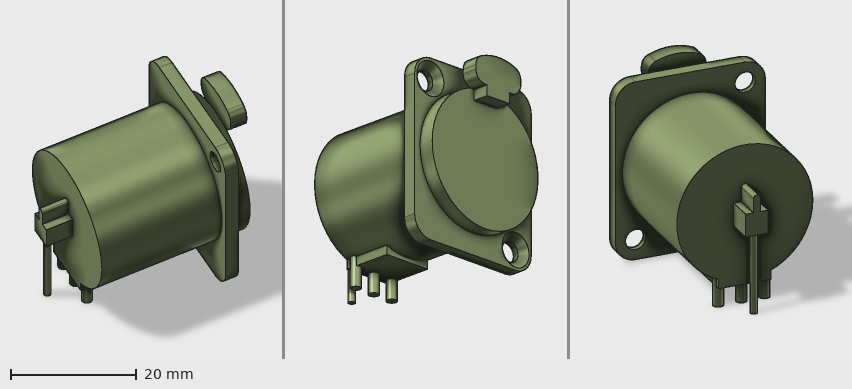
import cadquery as cq
import math


body_diameter = 23.6
body_length = 26.65
body_radius = body_diameter / 2
back_y = -body_length

plate_width = 26.0
plate_height = 31.0
plate_thickness = 2.3
plate_setback = 2.75
plate_corner_radius = 3.5
screw_hole_diameter = 3.5
screw_hole_x = 9.5
screw_hole_z = 12.0
countersink_depth = 1.25
countersink_diameter = 6.0

button_reach = 3.0
button_gap = 0.1
button_width = 10.0
button_top_z = 16.62
button_bottom_z = 11.25
button_crown_radius = 10.0
button_corner_radius = 2.0
stem_width = 5.0
stem_bottom_z = 9.4

block_width = 9.1
block_length = 9.0
block_bottom_z = -12.5

pin_bottom_z = -16.0
contact_pin_diameter = 1.8
contact_pin_pitch = 4.0
contact_pin_inset = 1.45
ground_pin_diameter = 1.2
ground_pin_inset = 1.2

lug_width = 3.9
lug_height = 4.0
lug_length = 4.75
fin_thickness = 1.2
fin_top_z = 5.0


def box_between(width, y_start, y_end, z_bottom, z_top):
    """Box centred on X that spans the given Y and Z ranges."""
    return cq.Workplane("XY").box(
        width, y_end - y_start, z_top - z_bottom, centered=(True, False, False)
    ).translate((0, y_start, z_bottom))


def profile_at(y):
    """XZ workplane at the given Y; positive extrusion runs toward -Y."""
    return cq.Workplane("XZ", origin=(0, y, 0))


def make_body():
    return profile_at(0).circle(body_radius).extrude(body_length)


def make_screw_hole(x, z):
    """Cutter for a through hole countersunk on the mating (+Y) side of the plate."""
    hole = profile_at(-plate_setback).center(x, z).circle(screw_hole_diameter / 2).extrude(plate_thickness)
    countersink = cq.Workplane(
        cq.Solid.makeCone(
            countersink_diameter / 2,
            screw_hole_diameter / 2,
            countersink_depth,
            pnt=cq.Vector(x, -plate_setback, z),
            dir=cq.Vector(0, -1, 0),
        )
    )
    return hole.union(countersink)


def make_plate():
    plate = (
        profile_at(-plate_setback)
        .rect(plate_width, plate_height)
        .extrude(plate_thickness)
        .edges("|Y")
        .fillet(plate_corner_radius)
    )
    plate = plate.cut(make_screw_hole(screw_hole_x, screw_hole_z))
    return plate.cut(make_screw_hole(-screw_hole_x, -screw_hole_z))


def make_button():
    half_width = button_width / 2
    crown_drop = button_crown_radius - math.sqrt(button_crown_radius**2 - half_width**2)
    shoulder_z = button_top_z - crown_drop
    head = (
        profile_at(button_reach)
        .moveTo(-half_width, button_bottom_z)
        .lineTo(-half_width, shoulder_z)
        .threePointArc((0, button_top_z), (half_width, shoulder_z))
        .lineTo(half_width, button_bottom_z)
        .close()
        .extrude(button_reach - button_gap)
        .edges("|Y")
        .fillet(button_corner_radius)
    )
    stem = box_between(stem_width, 0, button_reach, stem_bottom_z, button_bottom_z)
    return head.union(stem)


def make_terminal_block():
    return box_between(block_width, back_y, back_y + block_length, block_bottom_z, 0)


def make_pin(diameter, x, y, top_z):
    return (
        cq.Workplane("XY", origin=(x, y, pin_bottom_z))
        .circle(diameter / 2)
        .extrude(top_z - pin_bottom_z)
    )


def make_lug():
    end_y = back_y - lug_length
    half_height = lug_height / 2
    fin_radius = fin_thickness / 2
    fin_round_z = fin_top_z - fin_radius
    block = box_between(lug_width, end_y, back_y, -half_height, half_height)
    fin = box_between(fin_thickness, end_y, back_y, 0, fin_round_z)
    fin_round = profile_at(back_y).center(0, fin_round_z).circle(fin_radius).extrude(lug_length)
    return block.union(fin).union(fin_round)


result = make_body().union(make_plate()).union(make_button()).union(make_terminal_block())

contact_pin_y = back_y + contact_pin_inset
for pin_x in (-contact_pin_pitch, 0, contact_pin_pitch):
    root_z = contact_pin_diameter - math.sqrt(body_radius**2 - pin_x**2)
    result = result.union(make_pin(contact_pin_diameter, pin_x, contact_pin_y, root_z))

ground_pin_y = back_y - lug_length + ground_pin_inset
ground_pin = make_pin(ground_pin_diameter, 0, ground_pin_y, 0)
result = result.union(make_lug()).union(ground_pin)